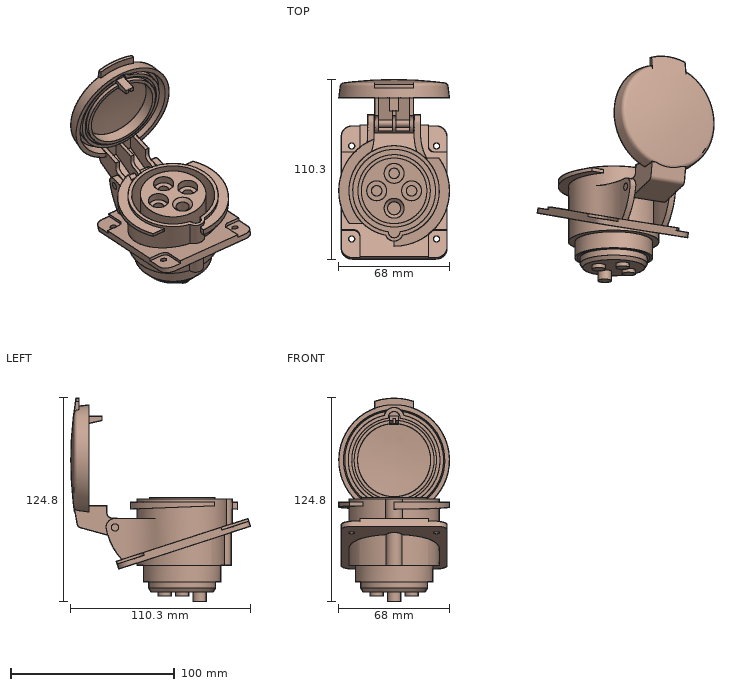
import cadquery as cq
import math


barrel_radius = 27.7
barrel_height = 40.8
bore_radius = 25.4
seat_thickness = 2.0
collar_radius = 23.8
collar_depth = 10.1
insert_bore_radius = 22.2

keyway_radius = 3.5
keyway_offset = 25.3
key_boss_radius = 5.5
lower_boss_radius = 4.9
relief_half_width = 21.0
relief_front_y = -26.5

plate_tilt = 18.0
plate_width = 65.0
plate_length = 85.0
plate_thickness = 5.0
plate_corner_radius = 7.0
plate_top_z = 15.6
raised_width = 42.0
raised_length = 50.0
corner_pad_depth = 1.75
corner_pad_radius = 4.0
screw_hole_diameter = 3.6
screw_hole_x = 26.0
screw_hole_y = 28.5
screw_hole_shift_y = -1.0

ramp_radius = 34.0
ramp_top_z = 38.7
ramp_start_y = 20.0
ramp_thin = 2.2
ramp_thick = 4.3

pin_diameter = 4.5
pin_y = 41.15
pin_z = 23.25
arm_inner_x = 12.2
arm_thickness = 4.0
arm_outer_x = arm_inner_x + arm_thickness
arm_end_radius = 5.5
arm_flare_start_y = 34.5
arm_gap_end_y = 23.6
arm_flare_radius = (arm_outer_x**2 + arm_flare_start_y**2 - barrel_radius**2) / (
    2 * (barrel_radius - arm_outer_x)
)
arm_flare_end_y = arm_flare_start_y * barrel_radius / (barrel_radius + arm_flare_radius)
arm_edge_mid = (43.2, 12.5)
arm_foot_y = 37.0

core_radius = 20.1
core_rise = 0.9
core_top_z = barrel_height + core_rise
tail_radius = 20.6
tail_bottom_z = -16.35
tail_chamfer_height = 2.4
tail_chamfer_width = 1.6
contact_circle_radius = 10.7
contact_recess_radius = 6.1
contact_recess_depth = 5.3
contact_hole_radius = 3.2
contact_hole_depth = 20.0
earth_hole_radius = 4.0
terminal_radius = 4.15
terminal_length = 2.5
earth_terminal_length = 5.85

lid_axis_z = 64.5
lid_radius = 34.0
lid_face_y = 57.0
lid_shoulder_radius = 33.1
lid_shoulder_y = 64.0
lid_dome_radius = 31.0
lid_dome_edge_y = 66.2
lid_back_y = 68.3
lid_wall = 2.2
rim_inner_radius = 31.1
rim_root_radius = 30.3
channel_floor_y = 63.0
seal_outer_radius = 28.1
seal_inner_radius = 26.0
seal_face_y = 59.0
seal_groove_floor_y = 60.0
seal_key_offset = 26.2
seal_key_outer_radius = 6.1
seal_key_inner_radius = 3.6
spigot_outer_radius = 24.5
spigot_inner_radius = 22.4
spigot_face_y = 57.6

tab_radius = 38.05
tab_width = 24.0
tab_front_y = 63.1

post_width = 5.5
post_tip_y = 49.0
post_top_z = 91.5
post_tip_bottom_z = 88.8
post_root_bottom_z = 86.3
post_slot_width = 1.4
post_slot_top_z = 90.0

rib_outer_x = 12.0
rib_thickness = 2.5
center_rib_thickness = 2.1
rib_top_z = 36.6
rib_front_y = 46.05
rib_notch_radius = 3.1
knuckle_radius = 5.8
web_thickness = 1.4
web_slope = 15.3
web_top_y = 65.9
web_top_z = 34.0
web_corner_y = 64.1
web_corner_radius = 3.0


def cylinder_z(radius, bottom, top, x=0.0, y=0.0):
    return cq.Workplane("XY").workplane(offset=bottom).center(x, y).circle(radius).extrude(top - bottom)


def cylinder_y(radius, front, back, z):
    return cq.Workplane("XZ", origin=(0, front, z)).circle(radius).extrude(front - back)


def block(x_range, y_range, z_range):
    size = [high - low for low, high in (x_range, y_range, z_range)]
    return cq.Workplane("XY").box(*size, centered=False).translate((x_range[0], y_range[0], z_range[0]))


def across_x(profile, half_width):
    return profile.extrude(half_width, both=True)


tilt = math.radians(plate_tilt)
plate_plane = cq.Plane(
    origin=(0, 0, plate_top_z), xDir=(1, 0, 0), normal=(0, math.sin(tilt), math.cos(tilt))
)


def make_front_relief():
    """Flatter front face of the barrel below the plate, an arc of larger radius than the barrel."""
    edge_y = -math.sqrt(barrel_radius**2 - relief_half_width**2)
    depth = edge_y - relief_front_y
    face_radius = (relief_half_width**2 + depth**2) / (2 * depth)
    front_half = block((-barrel_radius, barrel_radius), (-barrel_radius, 0), (0, barrel_height))
    outside = front_half.cut(cylinder_z(face_radius, 0, barrel_height, y=relief_front_y + face_radius))
    above_plate = (
        cq.Workplane(plate_plane)
        .workplane(offset=-plate_thickness / 2)
        .rect(plate_length, plate_length)
        .extrude(barrel_height)
    )
    return outside.cut(above_plate)


def make_barrel():
    barrel = cylinder_z(barrel_radius, 0, barrel_height).cut(make_front_relief())
    barrel = barrel.union(cylinder_z(collar_radius, -collar_depth, 0))
    boss_step_z = plate_top_z + keyway_offset * math.tan(tilt) - plate_thickness / 2
    barrel = barrel.union(cylinder_z(lower_boss_radius, 0, boss_step_z, y=-keyway_offset))
    return barrel.union(cylinder_z(key_boss_radius, boss_step_z, barrel_height, y=-keyway_offset))


def make_plate():
    plate = (
        cq.Workplane(plate_plane)
        .rect(plate_width, plate_length)
        .extrude(-plate_thickness)
        .edges(cq.selectors.ParallelDirSelector(plate_plane.zDir))
        .fillet(plate_corner_radius)
    )
    pads = cq.Workplane(plate_plane).rect(plate_width * 2, plate_length * 2).extrude(-corner_pad_depth)
    for width, length in ((raised_width, plate_length * 3), (plate_width * 3, raised_length)):
        pads = pads.cut(cq.Workplane(plate_plane).rect(width, length).extrude(-corner_pad_depth))
    pads = pads.edges(cq.selectors.ParallelDirSelector(plate_plane.zDir)).fillet(corner_pad_radius)
    holes = (
        cq.Workplane("XY", origin=(0, screw_hole_shift_y, -plate_length))
        .rect(2 * screw_hole_x, 2 * screw_hole_y, forConstruction=True)
        .vertices()
        .circle(screw_hole_diameter / 2)
        .extrude(2 * plate_length)
    )
    return plate.cut(pads).cut(holes)


def flare_point(radius, y):
    """Point on an arm face's flare, an arc about the common flare centre."""
    center_x = arm_outer_x + arm_flare_radius
    return (center_x - math.sqrt(radius**2 - (arm_flare_start_y - y) ** 2), y)


def arm_plan_faces():
    """Middle and end points of the outer and the inner flare of an arm."""
    outer = arm_flare_radius
    inner = arm_flare_radius + arm_thickness
    outer_mid_y = (arm_flare_start_y + arm_flare_end_y) / 2
    inner_mid_y = (arm_flare_start_y + arm_gap_end_y) / 2
    return (
        (flare_point(outer, outer_mid_y), flare_point(outer, arm_flare_end_y)),
        (flare_point(inner, inner_mid_y), flare_point(inner, arm_gap_end_y)),
    )


def make_arms():
    arm_tip_y = pin_y + arm_end_radius
    arm_top_z = pin_z + arm_end_radius
    (outer_mid, outer_end), (inner_mid, inner_end) = arm_plan_faces()
    plan = (
        cq.Workplane("XY")
        .moveTo(arm_inner_x, arm_tip_y)
        .lineTo(arm_outer_x, arm_tip_y)
        .lineTo(arm_outer_x, arm_flare_start_y)
        .threePointArc(outer_mid, outer_end)
        .lineTo(inner_end[0], arm_flare_end_y)
        .lineTo(*inner_end)
        .threePointArc(inner_mid, (arm_inner_x, arm_flare_start_y))
        .close()
        .extrude(arm_top_z)
    )
    arms = plan.union(plan.mirror("YZ"))

    foot_z = plate_top_z - arm_foot_y * math.tan(tilt)
    half_plate = plate_thickness / 2
    diagonal = arm_end_radius * math.sqrt(0.5)
    side = (
        cq.Workplane("YZ")
        .moveTo(0, arm_top_z)
        .lineTo(pin_y, arm_top_z)
        .threePointArc((pin_y + diagonal, pin_z + diagonal), (arm_tip_y, pin_z))
        .threePointArc(arm_edge_mid, (arm_foot_y, foot_z))
        .lineTo(arm_foot_y, foot_z - half_plate)
        .lineTo(0, plate_top_z - half_plate)
        .close()
    )
    return arms.intersect(across_x(side, plate_width))


def make_arm_gap():
    """Clear space between the two hinge arms."""
    inner_mid, inner_end = arm_plan_faces()[1]
    half = (
        cq.Workplane("XY")
        .moveTo(0, arm_gap_end_y)
        .lineTo(*inner_end)
        .threePointArc(inner_mid, (arm_inner_x, arm_flare_start_y))
        .lineTo(0, arm_flare_start_y)
        .close()
        .extrude(barrel_height)
    )
    return half.union(half.mirror("YZ"))


def make_ramps():
    """Two half-turn symmetric locking ramps that grow thicker along their length."""
    ramp = cylinder_z(ramp_radius, ramp_top_z - ramp_thick, ramp_top_z)
    ramp = ramp.cut(cylinder_z((bore_radius + barrel_radius) / 2, 0, barrel_height))
    ramp = ramp.intersect(block((0, ramp_radius), (-ramp_radius, ramp_start_y), (0, barrel_height)))
    under_side = cq.Workplane("YZ").polyline(
        [
            (-ramp_radius, ramp_top_z - ramp_thick),
            (ramp_start_y, ramp_top_z - ramp_thin),
            (ramp_start_y, ramp_top_z - ramp_thick),
        ]
    ).close()
    ramp = ramp.cut(across_x(under_side, ramp_radius))
    opposite = ramp.rotate((0, 0, 0), (0, 0, 1), 180).cut(make_arm_gap())
    return ramp.union(opposite)


def make_housing():
    housing = make_barrel().union(make_plate()).union(make_arms()).union(make_ramps())
    housing = housing.cut(cylinder_z(bore_radius, seat_thickness, barrel_height))
    housing = housing.cut(cylinder_z(keyway_radius, seat_thickness, barrel_height, y=-keyway_offset))
    housing = housing.cut(cylinder_z(insert_bore_radius, -collar_depth, seat_thickness))
    return housing.cut(make_hinge_pin())


def make_hinge_pin():
    return across_x(cq.Workplane("YZ").center(pin_y, pin_z).circle(pin_diameter / 2), arm_outer_x)


def make_insert():
    insert = (
        cq.Workplane("XZ")
        .polyline(
            [
                (0, core_top_z),
                (core_radius, core_top_z),
                (core_radius, seat_thickness),
                (insert_bore_radius, seat_thickness),
                (insert_bore_radius, -collar_depth),
                (tail_radius, -collar_depth),
                (tail_radius, tail_bottom_z + tail_chamfer_height),
                (tail_radius - tail_chamfer_width, tail_bottom_z),
                (0, tail_bottom_z),
            ]
        )
        .close()
        .revolve(360, (0, 0), (0, 1))
    )
    hole_floor_z = core_top_z - contact_hole_depth
    for x, y in ((-1, 0), (0, 1), (1, 0), (0, -1)):
        spot = {"x": x * contact_circle_radius, "y": y * contact_circle_radius}
        is_earth = y == -1
        length = earth_terminal_length if is_earth else terminal_length
        insert = insert.union(
            cylinder_z(terminal_radius, tail_bottom_z - length, tail_bottom_z, **spot)
        )
        if is_earth:
            lead_in = contact_recess_radius - earth_hole_radius
            base = cq.Vector(spot["x"], spot["y"], core_top_z - lead_in)
            recess = cq.Workplane(
                cq.Solid.makeCone(earth_hole_radius, contact_recess_radius, lead_in, base)
            )
            hole = cylinder_z(earth_hole_radius, hole_floor_z, core_top_z, **spot)
        else:
            recess = cylinder_z(
                contact_recess_radius, core_top_z - contact_recess_depth, core_top_z, **spot
            )
            hole = cylinder_z(contact_hole_radius, hole_floor_z, core_top_z, **spot)
        insert = insert.cut(recess).cut(hole)
    return insert


def dome_y(radius):
    """Y position of the outer dome, a shallow sphere cap, at a radius from the lid axis."""
    rise = lid_back_y - lid_dome_edge_y
    sphere = (lid_dome_radius**2 + rise**2) / (2 * rise)
    return lid_back_y - sphere + math.sqrt(sphere**2 - radius**2)


def lid_point(radius, y):
    return (y, lid_axis_z + radius)


def revolve_about_lid_axis(profile):
    return profile.close().revolve(360, (0, lid_axis_z), (1, lid_axis_z))


def make_lid_disc():
    """Domed disc with a rim in front and a finger tab that continues the dome."""
    dome_mid = tab_radius / 2
    blank = revolve_about_lid_axis(
        cq.Workplane("YZ")
        .moveTo(*lid_point(tab_radius, lid_face_y))
        .lineTo(*lid_point(tab_radius, dome_y(tab_radius)))
        .threePointArc(lid_point(dome_mid, dome_y(dome_mid)), lid_point(0, lid_back_y))
        .lineTo(*lid_point(0, channel_floor_y))
        .lineTo(*lid_point(rim_root_radius, channel_floor_y))
        .lineTo(*lid_point(rim_inner_radius, lid_face_y))
    )
    shoulder_mid_radius = (lid_shoulder_radius * 2 + lid_dome_radius) / 3
    shoulder_mid_y = (lid_shoulder_y + lid_dome_edge_y * 2) / 3
    outside = revolve_about_lid_axis(
        cq.Workplane("YZ")
        .moveTo(*lid_point(lid_radius, lid_face_y))
        .lineTo(*lid_point(lid_shoulder_radius, lid_shoulder_y))
        .threePointArc(
            lid_point(shoulder_mid_radius, shoulder_mid_y), lid_point(lid_dome_radius, lid_dome_edge_y)
        )
        .lineTo(*lid_point(lid_dome_radius, lid_back_y))
        .lineTo(*lid_point(2 * tab_radius, lid_back_y))
        .lineTo(*lid_point(2 * tab_radius, lid_face_y))
    )
    half_tab = tab_width / 2
    tab_top_z = lid_axis_z + tab_radius
    tab_space = block((-half_tab, half_tab), (tab_front_y, lid_back_y), (lid_axis_z, tab_top_z))
    return blank.cut(outside.cut(tab_space))


def make_lid_dish():
    """Hollow inside the spigot, whose floor runs parallel to the dome."""
    floor_mid = spigot_inner_radius / 2
    profile = (
        cq.Workplane("YZ")
        .moveTo(*lid_point(0, spigot_face_y))
        .lineTo(*lid_point(spigot_inner_radius, spigot_face_y))
        .lineTo(*lid_point(spigot_inner_radius, dome_y(spigot_inner_radius) - lid_wall))
        .threePointArc(
            lid_point(floor_mid, dome_y(floor_mid) - lid_wall), lid_point(0, lid_back_y - lid_wall)
        )
    )
    return revolve_about_lid_axis(profile)


def keyed_disc(radius, key_radius, front_y):
    """Disc with a round key bump at its top, rooted in the lid wall."""
    disc = cylinder_y(radius, front_y, lid_shoulder_y, lid_axis_z)
    key = cylinder_y(key_radius, front_y, lid_shoulder_y, lid_axis_z + seal_key_offset)
    return disc.union(key)


def make_seal_seat():
    """Keyed seal ring, its groove and the spigot that enters the bore."""
    seat = keyed_disc(seal_outer_radius, seal_key_outer_radius, seal_face_y)
    groove = keyed_disc(seal_inner_radius, seal_key_inner_radius, seal_face_y)
    floor = keyed_disc(seal_inner_radius, seal_key_inner_radius, seal_groove_floor_y)
    spigot = cylinder_y(spigot_outer_radius, spigot_face_y, lid_shoulder_y, lid_axis_z)
    return seat.cut(groove.cut(floor)).union(spigot)


def make_post():
    profile = cq.Workplane("YZ").polyline(
        [
            (post_tip_y, post_tip_bottom_z),
            (post_tip_y, post_top_z),
            (seal_groove_floor_y, post_top_z),
            (seal_groove_floor_y, post_root_bottom_z),
        ]
    ).close()
    post = across_x(profile, post_width / 2)
    slot_half = post_slot_width / 2
    slot = block(
        (-slot_half, slot_half), (post_tip_y, spigot_face_y), (post_root_bottom_z, post_slot_top_z)
    )
    return post.cut(slot)


def hinge_underside(inset):
    """Knuckle radius, tangent point and back corner of the hinge underside, moved inward by an inset."""
    slope = math.radians(web_slope)
    radius = knuckle_radius - inset
    tangent_point = (pin_y + radius * math.sin(slope), pin_z - radius * math.cos(slope))
    corner_y = web_corner_y - inset
    corner_z = tangent_point[1] + (corner_y - tangent_point[0]) * math.tan(slope)
    return radius, tangent_point, (corner_y, corner_z)


def make_hinge_ribs():
    """Full-width hinge block with a round knuckle and a notch above it, before the pockets."""
    radius, tangent_point, corner = hinge_underside(0)
    diagonal = radius * math.sqrt(0.5)
    notch_z = pin_z + radius + rib_notch_radius
    bulge = rib_notch_radius * (1 - math.sqrt(0.5))
    profile = (
        cq.Workplane("YZ")
        .moveTo(web_top_y, web_top_z)
        .lineTo(*corner)
        .lineTo(*tangent_point)
        .threePointArc((pin_y - diagonal, pin_z - diagonal), (pin_y - radius, pin_z))
        .threePointArc((pin_y - diagonal, pin_z + diagonal), (pin_y, pin_z + radius))
        .lineTo(rib_front_y - rib_notch_radius, pin_z + radius)
        .threePointArc((rib_front_y - bulge, notch_z - rib_notch_radius + bulge), (rib_front_y, notch_z))
        .lineTo(rib_front_y, rib_top_z)
        .lineTo(lid_shoulder_y, rib_top_z)
        .close()
    )
    ribs = across_x(profile, rib_outer_x)
    back_corner = cq.selectors.NearestToPointSelector((0, *corner))
    return ribs.edges("|X").edges(back_corner).fillet(web_corner_radius)


def make_hinge_pockets():
    """Open space on both sides of the centre rib, leaving a thin wrapped web behind it."""
    pocket_top_z = lid_axis_z - seal_inner_radius
    radius, tangent_point, corner = hinge_underside(web_thickness)
    diagonal = radius * math.sqrt(0.5)
    profile = (
        cq.Workplane("YZ")
        .moveTo(channel_floor_y, pocket_top_z)
        .lineTo(*corner)
        .lineTo(*tangent_point)
        .threePointArc((pin_y - diagonal, pin_z - diagonal), (pin_y - radius, pin_z))
        .lineTo(pin_y - radius, pocket_top_z)
        .close()
    )
    center_half = center_rib_thickness / 2
    center_rib = block((-center_half, center_half), (0, lid_back_y), (0, lid_axis_z))
    return across_x(profile, rib_outer_x - rib_thickness).cut(center_rib)


def make_key_relief():
    """Cut into the rim in front of the seal key, which reaches past the rim's inner edge."""
    return cylinder_y(seal_key_outer_radius, lid_face_y, seal_face_y, lid_axis_z + seal_key_offset).cut(
        cylinder_y(seal_outer_radius, lid_face_y, seal_face_y, lid_axis_z)
    )


def make_lid():
    lid = make_lid_disc().union(make_hinge_ribs()).cut(make_hinge_pockets())
    lid = lid.union(make_seal_seat()).cut(make_lid_dish()).cut(make_key_relief())
    lid = lid.union(make_post())
    return lid.cut(make_hinge_pin())


housing = make_housing()
hinge_pin = make_hinge_pin()
insert = make_insert()
lid = make_lid()

result = cq.Compound.makeCompound([housing.val(), hinge_pin.val(), insert.val(), lid.val()])